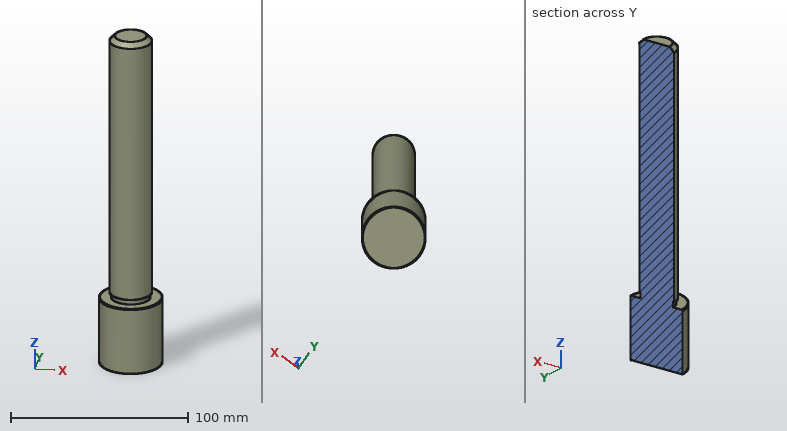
import cadquery as cq

head_diameter = 36.0
head_height = 40.0
head_chamfer = 0.5

total_length = 200.0
shank_diameter = 24.0
tip_chamfer = 3.0

neck_diameter = 22.5
neck_height = 3.0


def make_head():
    """Cylindrical head standing on the XY plane, both rims chamfered."""
    blank = cq.Workplane("XY").circle(head_diameter / 2).extrude(head_height)
    return blank.edges("%CIRCLE").chamfer(head_chamfer)


def make_shank():
    """Shank with its neck and tip, as one profile revolved about the Z axis."""
    shank_radius = shank_diameter / 2
    return (
        cq.Workplane("XZ")
        .moveTo(0, head_height)
        .lineTo(neck_diameter / 2, head_height)
        .lineTo(neck_diameter / 2, head_height + neck_height)
        .lineTo(shank_radius, head_height + neck_height)
        .lineTo(shank_radius, total_length - tip_chamfer)
        .lineTo(shank_radius - tip_chamfer, total_length)
        .lineTo(0, total_length)
        .close()
        .revolve(360, (0, 0, 0), (0, 1, 0))
    )


result = make_head().union(make_shank())